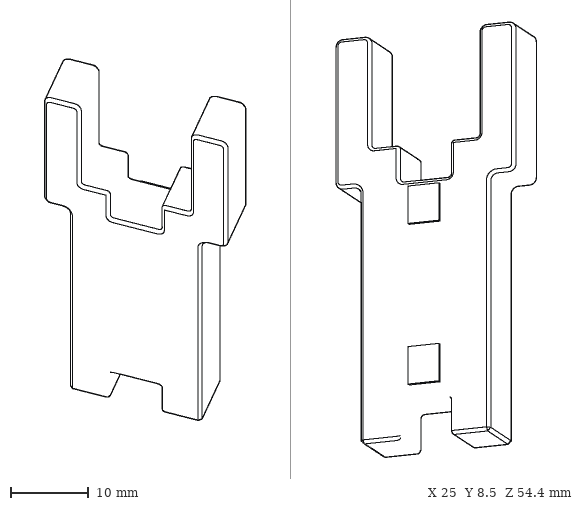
import cadquery as cq

height = 54.4
body_width = 18.0
head_width = 25.0
thickness = 8.0

arm_width = 5.0
arm_length = 15.0
shoulder_drop = 20.0
seat_width = 7.05
seat_drop = 19.9

foot_slot_width = seat_width
foot_slot_depth = 5.15

edge_bevel = 0.45
corner_radius = 1.0
small_radius = 0.5

pad_width = 4.3
pad_height = 5.0
pad_relief = 0.5
pad_levels = (9.65, 31.1)

half_body = body_width / 2
half_head = head_width / 2
half_fork = half_head - arm_width
half_seat = seat_width / 2
shoulder_z = height - shoulder_drop
shelf_z = height - arm_length
seat_z = height - seat_drop

foot_corner = (half_body, 0)
neck_corner = (half_body, shoulder_z)
shoulder_corner = (half_head, shoulder_z)
outer_tip = (half_head, height)
inner_tip = (half_fork, height)
shelf_corner = (half_fork, shelf_z)
step_corner = (half_seat, shelf_z)
seat_corner = (half_seat, seat_z)


def round_corner_pair(plate, corner, radius):
    """Round an outline corner and its mirror image across the plate's middle."""
    half_x, z = corner
    for x in (-half_x, half_x):
        nearest = cq.selectors.NearestToPointSelector((x, thickness / 2, z))
        plate = plate.edges("|Y").edges(nearest).fillet(radius)
    return plate


def forked_plate():
    """Plate with two arms and a stepped seat at the top, rounded corners and beveled rims."""
    right_half = [
        foot_corner,
        neck_corner,
        shoulder_corner,
        outer_tip,
        inner_tip,
        shelf_corner,
        step_corner,
        seat_corner,
    ]
    left_half = [(-x, z) for x, z in reversed(right_half)]
    plate = cq.Workplane("XZ").polyline(right_half + left_half).close().extrude(-thickness)
    for corner in (neck_corner, shoulder_corner, outer_tip, inner_tip):
        plate = round_corner_pair(plate, corner, corner_radius)
    for corner in (shelf_corner, step_corner, seat_corner):
        plate = round_corner_pair(plate, corner, small_radius)
    return plate.faces("<Y or >Y or <Z").chamfer(edge_bevel)


def cut_foot_slot(plate):
    """Cut the slot open at the bottom and round its upper corners and its rim."""
    slot_size = (foot_slot_width, thickness, foot_slot_depth)
    slot = cq.Workplane("XY").box(*slot_size, centered=(True, False, False))
    slot = slot.edges("|Y and >Z").fillet(small_radius)

    margin = 0.05
    zone = cq.selectors.BoxSelector(
        (-foot_slot_width / 2 - margin, -margin, -margin),
        (foot_slot_width / 2 + margin, thickness + margin, foot_slot_depth + margin),
        boundingbox=True,
    )
    return plate.cut(slot).edges(zone).edges("(not |Y) or <Z").fillet(small_radius)


def raised_pad(level):
    """Shallow rectangular pad on the +Y face, rooted at mid-thickness to join the plate."""
    pad_size = (pad_width, thickness / 2 + pad_relief, pad_height)
    pad = cq.Workplane("XY").box(*pad_size, centered=(True, False, True))
    return pad.translate((0, thickness / 2, level))


result = cut_foot_slot(forked_plate())
for pad_level in pad_levels:
    result = result.union(raised_pad(pad_level))